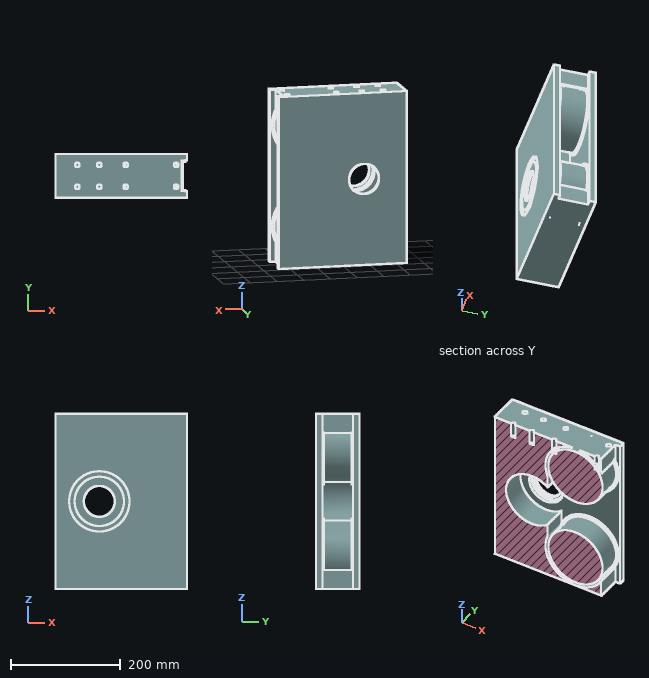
import cadquery as cq

LENGTH = 240.0
WIDTH = 80.0
HEIGHT = 320.0

BORE_X = 80.0
BORE_Z = HEIGHT / 2
BORE_DIAMETER = 56.0
RING_DIAMETER = 110.0
BOSS_DIAMETER = 90.0
RING_DEPTH = 4.0
SEAL_DIAMETER = 68.0
SEAL_START = 2.5
SEAL_WIDTH = 1.5
RELIEF_DIAMETER = 72.0
RELIEF_START = 5.0
WHEEL_DIAMETER = 110.0

ROLLER_DIAMETER = 118.0
FLANGE_DIAMETER = 126.0
CLEARANCE_DIAMETER = 128.0
FLANGE_THICKNESS = 2.5
ROLLER_EDGE_DISTANCE = 66.0
ROLLER_X = LENGTH - ROLLER_EDGE_DISTANCE
ROLLER_HEIGHTS = (ROLLER_EDGE_DISTANCE, HEIGHT - ROLLER_EDGE_DISTANCE)

SLOT_DEPTH = 10.0
SIDE_WALL = 12.0
PASSAGE_START = 114.0

HOLE_DIAMETER = 8.38
HOLE_DEPTH = 30.0
HOLE_COLUMNS = (40.0, 80.0, 128.0, 220.0)
HOLE_ROWS = (WIDTH / 4, WIDTH * 3 / 4)


def disc(diameter, y_start, y_end, x, z):
    """Cylinder along Y between two Y positions."""
    plane = cq.Workplane("XZ", origin=(x, y_start, z))
    return plane.circle(diameter / 2).extrude(y_start - y_end)


def bore_disc(diameter, y_start, y_end):
    """Cylinder on the main bore axis."""
    return disc(diameter, y_start, y_end, BORE_X, BORE_Z)


def slab(x_start, y_margin, z_start, z_end):
    """Box from an X position to the +X side, centred across the width."""
    size = (LENGTH - x_start, WIDTH - 2 * y_margin, z_end - z_start)
    return cq.Workplane("XY").box(*size, centered=False).translate((x_start, y_margin, z_start))


def face_groove():
    """Ring-shaped groove around the bore in the front face."""
    return bore_disc(RING_DIAMETER, 0, RING_DEPTH).cut(bore_disc(BOSS_DIAMETER, 0, RING_DEPTH))


def bore_and_chamber():
    """Stepped bore, symmetric about mid-width, with the wheel chamber in the middle."""
    tool = bore_disc(BORE_DIAMETER, 0, WIDTH)
    tool = tool.union(bore_disc(RELIEF_DIAMETER, RELIEF_START, WIDTH - RELIEF_START))
    tool = tool.union(bore_disc(WHEEL_DIAMETER, SIDE_WALL, WIDTH - SIDE_WALL))
    seal_end = SEAL_START + SEAL_WIDTH
    tool = tool.union(bore_disc(SEAL_DIAMETER, SEAL_START, seal_end))
    return tool.union(bore_disc(SEAL_DIAMETER, WIDTH - seal_end, WIDTH - SEAL_START))


def flanged_roller(z):
    """Roller spanning the side walls, with a flange against each wall."""
    inner_start = SIDE_WALL + FLANGE_THICKNESS
    inner_end = WIDTH - inner_start
    roller = disc(FLANGE_DIAMETER, 0, WIDTH, ROLLER_X, z)
    groove = disc(FLANGE_DIAMETER, inner_start, inner_end, ROLLER_X, z)
    groove = groove.cut(disc(ROLLER_DIAMETER, inner_start, inner_end, ROLLER_X, z))
    return roller.cut(groove)


def roller_space():
    """Side slot, passage and roller clearance, leaving the flanged rollers standing."""
    space = slab(LENGTH - SLOT_DEPTH, SIDE_WALL, 0, HEIGHT)
    space = space.union(slab(PASSAGE_START, SIDE_WALL, *ROLLER_HEIGHTS))
    for z in ROLLER_HEIGHTS:
        pocket = disc(CLEARANCE_DIAMETER, SIDE_WALL, WIDTH - SIDE_WALL, ROLLER_X, z)
        space = space.union(pocket)
    for z in ROLLER_HEIGHTS:
        space = space.cut(flanged_roller(z))
    return space


def top_holes():
    """Two rows of blind holes in the top face."""
    positions = [(x, y) for x in HOLE_COLUMNS for y in HOLE_ROWS]
    plane = cq.Workplane("XY", origin=(0, 0, HEIGHT - HOLE_DEPTH))
    return plane.pushPoints(positions).circle(HOLE_DIAMETER / 2).extrude(HOLE_DEPTH)


block = cq.Workplane("XY").box(LENGTH, WIDTH, HEIGHT, centered=False)
result = block.cut(face_groove()).cut(bore_and_chamber()).cut(roller_space()).cut(top_holes())